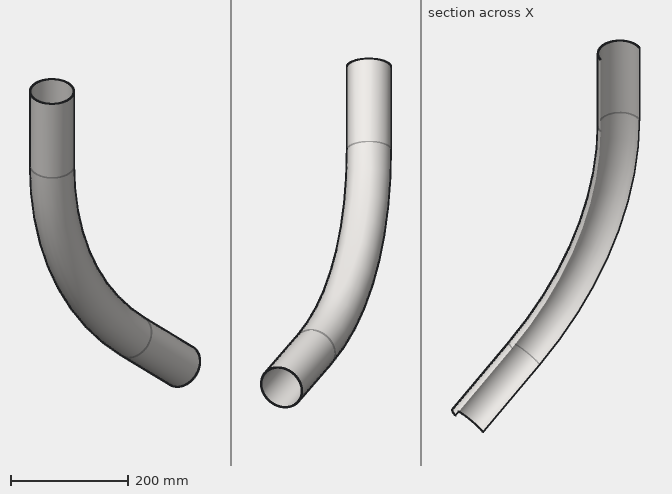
import cadquery as cq
import math

outer_diameter = 76.0
bore_diameter = 73.0
bend_angle = 45
straight_length = 152.0
overall_height = 718

angle = math.radians(bend_angle)
straight_height = straight_length * (1 + math.cos(angle))
end_rim_drop = outer_diameter / 2 * math.sin(angle)
bend_radius = (overall_height - straight_height - end_rim_drop) / math.sin(angle)



def point_on_bend(turn):
    """Return the (y, z) centreline point after turning through an angle in radians."""
    return (bend_radius * (1 - math.cos(turn)), -bend_radius * math.sin(turn))


top_end = (0, straight_length)
upper_joint = point_on_bend(0)
bend_middle = point_on_bend(angle / 2)
lower_joint = point_on_bend(angle)
lower_end = (
    lower_joint[0] + straight_length * math.sin(angle),
    lower_joint[1] - straight_length * math.cos(angle),
)

centreline = (
    cq.Workplane("YZ")
    .moveTo(*top_end)
    .lineTo(*upper_joint)
    .threePointArc(bend_middle, lower_joint)
    .lineTo(*lower_end)
)

result = (
    cq.Workplane("XY", origin=(0, *top_end))
    .circle(outer_diameter / 2)
    .circle(bore_diameter / 2)
    .sweep(centreline)
)